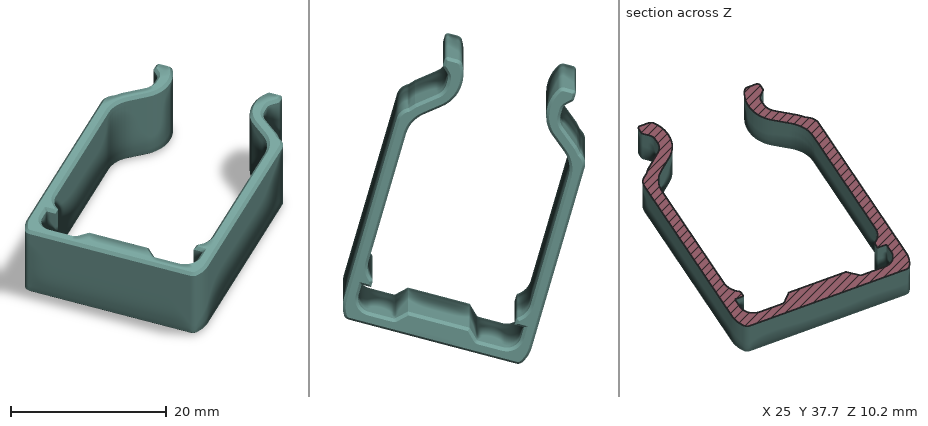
import cadquery as cq
import math

WIDTH = 25.0
LENGTH = 37.7
HEIGHT = 10.2
RIM_CHAMFER = 0.38

SIDE_WALL = 1.7
FLOOR = 1.7
INNER_CORNER_RADIUS = 1.9
OUTER_CORNER_RADIUS = 4.2
OUTER_CORNER_RISE = 2.6
OUTER_CORNER_EASE = 0.85

PAD_TOP = 3.1
PAD_HALF_WIDTH = 4.1

BARB_BOTTOM = 5.0
BARB_REACH = 1.25
BARB_RADIUS = 2.65
BARB_BACK_TOP = 8.2

NECK_ANGLE = 50.0
NECK_INNER_RADIUS = 4.15
SHOULDER_TOP_X = 11.65
SHOULDER_RADIUS = 1.9
SHOULDER_START = 27.97
NECK_NOTCH_X = 10.8
NECK_NOTCH_Y = 30.42
NECK_STEEP_ANGLE = 41.0
NECK_STEEP_DROP = 0.7

THROAT_HALF_WIDTH = 5.7
HOOK_RADIUS = 5.05
HOOK_CENTER_Y = 34.7
HOOK_LOWER_RADIUS = 4.6
HOOK_BLEND_ANGLE = 14.0
HOOK_EASE = 0.83
TIP_OUTER_X = 8.7
TIP_FACE_BOTTOM = 36.35
HOLLOW_X = 7.6
HOLLOW_UPPER_RADIUS = 1.05
HOLLOW_LOWER_RADIUS = 2.07

SMALL_RADIUS = 0.4

HALF = WIDTH / 2
INNER_X = HALF - SIDE_WALL


def on_circle(center, radius, degrees):
    """Point on a circle, the angle measured from +X."""
    angle = math.radians(degrees)
    return (center[0] + radius * math.cos(angle), center[1] + radius * math.sin(angle))


def arc_points(center, radius, start, end):
    """Start, middle and end point of an arc."""
    return [on_circle(center, radius, a) for a in (start, (start + end) / 2, end)]


def angle_at_height(center_y, radius, y):
    """Angle between +X and the point of a circle at height y."""
    return math.degrees(math.asin((y - center_y) / radius))


def round_corner(body, corner, radius):
    """Round the upright edge standing on the given outline corner."""
    nearest = cq.selectors.NearestToPointSelector((*corner, HEIGHT / 2))
    return body.edges(nearest).fillet(radius)


def half_clip():
    """Right half of the clip, from the middle plane to the right arm."""
    corner_center = (HALF - OUTER_CORNER_RADIUS, OUTER_CORNER_RISE)
    corner_end = angle_at_height(OUTER_CORNER_RISE, OUTER_CORNER_RADIUS, 0)
    corner = arc_points(corner_center, OUTER_CORNER_RADIUS, corner_end, 0)

    shoulder_center = (HALF - SHOULDER_RADIUS, SHOULDER_START)
    shoulder_end = math.degrees(math.acos((SHOULDER_TOP_X - shoulder_center[0]) / SHOULDER_RADIUS))
    shoulder = arc_points(shoulder_center, SHOULDER_RADIUS, 0, shoulder_end)

    steep_shift = NECK_STEEP_DROP * math.tan(math.radians(NECK_STEEP_ANGLE))
    neck_foot = (NECK_NOTCH_X + steep_shift, NECK_NOTCH_Y - NECK_STEEP_DROP)
    neck_notch = (NECK_NOTCH_X, NECK_NOTCH_Y)
    neck_slope = math.tan(math.radians(NECK_ANGLE))
    neck_top = (HOLLOW_X, NECK_NOTCH_Y + (NECK_NOTCH_X - HOLLOW_X) / neck_slope)
    tip_bottom = (TIP_OUTER_X, TIP_FACE_BOTTOM)
    hollow_top = (HOLLOW_X, TIP_FACE_BOTTOM - (TIP_OUTER_X - HOLLOW_X))
    tip_top = (TIP_OUTER_X, LENGTH)

    hook_center = (THROAT_HALF_WIDTH + HOOK_RADIUS, HOOK_CENTER_Y)
    hook_start = 180 - angle_at_height(HOOK_CENTER_Y, HOOK_RADIUS, LENGTH)
    blend = 180 + HOOK_BLEND_ANGLE
    hook = arc_points(hook_center, HOOK_RADIUS, hook_start, blend)
    lower_center = on_circle(hook_center, HOOK_RADIUS - HOOK_LOWER_RADIUS, blend)
    lower_hook = arc_points(lower_center, HOOK_LOWER_RADIUS, blend, 180 + NECK_ANGLE)
    neck_x, neck_y = lower_hook[2]
    neck_bend = (INNER_X, neck_y - (INNER_X - neck_x) / neck_slope)

    barb_x = INNER_X - BARB_REACH
    barb_center = (INNER_X - BARB_RADIUS, BARB_BACK_TOP)
    barb_end = -math.degrees(math.acos(1 - BARB_REACH / BARB_RADIUS))
    barb = arc_points(barb_center, BARB_RADIUS, 0, barb_end)

    inner_corner = (INNER_X, FLOOR)
    pad_foot = (PAD_HALF_WIDTH + PAD_TOP - FLOOR, FLOOR)

    body = (
        cq.Workplane("XY")
        .lineTo(*corner[0])
        .threePointArc(*corner[1:])
        .lineTo(*shoulder[0])
        .threePointArc(*shoulder[1:])
        .lineTo(*neck_foot)
        .lineTo(*neck_notch)
        .lineTo(*neck_top)
        .lineTo(*hollow_top)
        .lineTo(*tip_bottom)
        .lineTo(*tip_top)
        .lineTo(*hook[0])
        .threePointArc(*hook[1:])
        .threePointArc(*lower_hook[1:])
        .lineTo(*neck_bend)
        .lineTo(*barb[0])
        .threePointArc(*barb[1:])
        .lineTo(barb_x, BARB_BOTTOM)
        .lineTo(INNER_X, BARB_BOTTOM)
        .lineTo(*inner_corner)
        .lineTo(*pad_foot)
        .lineTo(PAD_HALF_WIDTH, PAD_TOP)
        .lineTo(0, PAD_TOP)
        .close()
        .extrude(HEIGHT)
    )
    roundings = [
        (corner[0], OUTER_CORNER_EASE),
        (neck_top, HOLLOW_LOWER_RADIUS),
        (hollow_top, HOLLOW_UPPER_RADIUS),
        (tip_bottom, SMALL_RADIUS),
        (tip_top, SMALL_RADIUS),
        (hook[0], HOOK_EASE),
        (neck_bend, NECK_INNER_RADIUS),
        (barb[2], SMALL_RADIUS),
        (inner_corner, INNER_CORNER_RADIUS),
        (pad_foot, SMALL_RADIUS),
    ]
    for outline_corner, radius in roundings:
        body = round_corner(body, outline_corner, radius)
    return body


right_half = half_clip()
clip = right_half.union(right_half.mirror("YZ")).clean()
result = clip.faces("<Z or >Z").edges().chamfer(RIM_CHAMFER)